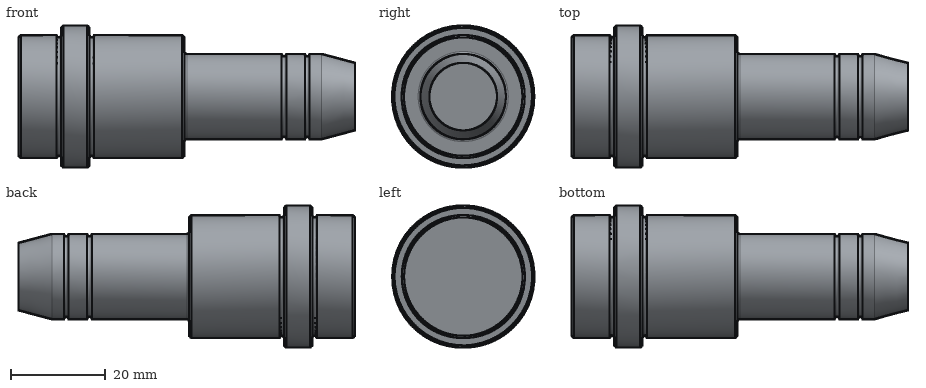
import cadquery as cq

total_length = 71.0
head_length = 9.0
flange_end = 15.0
body_end = 35.0
taper_start = 64.0

body_diameter = 26.0
flange_diameter = 30.0
shank_diameter = 18.0
tip_diameter = 14.3

edge_chamfer = 0.5
shoulder_fillet = 0.5
groove_radius = 0.5
shank_groove_starts = (55.5, 60.4)


def cylinder(start, end, diameter):
    """Solid cylinder along X between two stations."""
    return cq.Workplane("YZ", origin=(start, 0, 0)).circle(diameter / 2).extrude(end - start)


def round_groove(start, diameter):
    """Ring of circular section, centred on the surface of a cylinder."""
    center = cq.Vector(start + groove_radius, 0, 0)
    return cq.Workplane(cq.Solid.makeTorus(diameter / 2, groove_radius, center, cq.Vector(1, 0, 0)))


body = cylinder(0, body_end, body_diameter).faces("<X or >X").chamfer(edge_chamfer)

body = body.cut(round_groove(head_length - 2 * groove_radius, body_diameter))
body = body.cut(round_groove(flange_end, body_diameter))

flange = cylinder(head_length, flange_end, flange_diameter).faces("<X or >X").chamfer(edge_chamfer)

shank = cylinder(body_end, taper_start, shank_diameter)
for groove_start in shank_groove_starts:
    shank = shank.cut(round_groove(groove_start, shank_diameter))

tip = cq.Workplane(
    cq.Solid.makeCone(
        shank_diameter / 2,
        tip_diameter / 2,
        total_length - taper_start,
        cq.Vector(taper_start, 0, 0),
        cq.Vector(1, 0, 0),
    )
)

result = body.union(flange).union(shank).union(tip)
shoulder_corner = cq.selectors.BoxSelector(
    (body_end - edge_chamfer / 2, -shank_diameter, -shank_diameter),
    (body_end + edge_chamfer / 2, shank_diameter, shank_diameter),
    boundingbox=True,
)
result = result.edges(shoulder_corner).edges(cq.selectors.RadiusNthSelector(0)).fillet(shoulder_fillet)